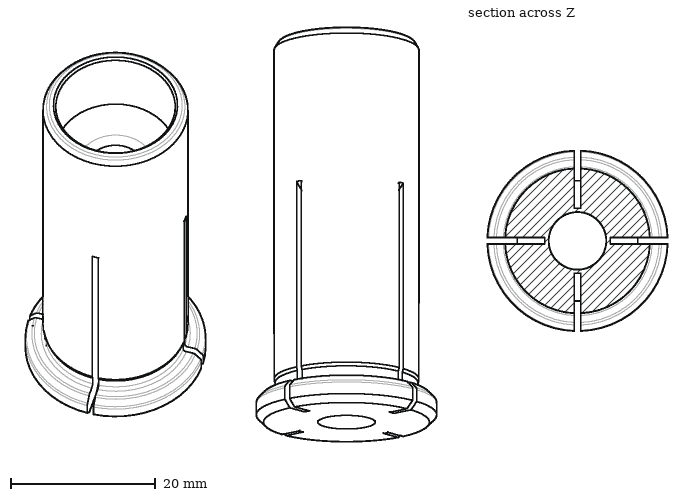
import cadquery as cq
import math

length = 54.0
tube_radius = 10.05
flange_radius = 25.0 / 2
flange_height = 3.95
flange_chamfer = 1.0
flange_edge_fillet = 0.5

groove_radius = 9.9
groove_end = 6.1
groove_runout = 0.5
groove_corner_fillet = 0.45

lead_height = 1.0
lead_width = lead_height * math.tan(math.radians(30))
lead_fillet = 0.45

socket_radius = 8.25
socket_depth = 9.95
socket_chamfer = 0.3
seat_radius = 5.25
bore_radius = 7.95 / 2
seat_slope = 45.0
throat_slope = 30.0

slot_count = 4
slot_width = 0.85
slot_top = 32.5
slot_roof_slope = 45.0
web_height = 3.3
web_slope = 37.0


def rise(run, slope):
    """Height gained over a radial run at a slope in degrees from horizontal."""
    return run * math.tan(math.radians(slope))


def fillet_rim(body, radius, height, fillet_radius):
    """Round the circular edge of the given radius and height."""
    tolerance = 0.005
    rims = [
        edge
        for edge in body.edges("%CIRCLE").vals()
        if abs(edge.radius() - radius) < tolerance and abs(edge.Center().z - height) < tolerance
    ]
    return body.newObject(rims).fillet(fillet_radius)


def make_body():
    profile = (
        cq.Workplane("XZ")
        .polyline([
            (0, 0),
            (flange_radius - flange_chamfer, 0),
            (flange_radius, flange_chamfer),
            (flange_radius, flange_height - flange_chamfer),
            (flange_radius - flange_chamfer, flange_height),
            (groove_radius, flange_height),
            (groove_radius, groove_end - groove_runout),
            (tube_radius, groove_end),
            (tube_radius, length - lead_height),
            (tube_radius - lead_width, length),
            (0, length),
        ])
        .close()
    )
    body = profile.revolve(360, (0, 0, 0), (0, 1, 0))

    chamfer_foot = flange_height - flange_chamfer
    body = fillet_rim(body, tube_radius - lead_width, length, lead_fillet)
    body = fillet_rim(body, groove_radius, flange_height, groove_corner_fillet)
    body = fillet_rim(body, flange_radius - flange_chamfer, flange_height, flange_edge_fillet)
    return fillet_rim(body, flange_radius, chamfer_foot, flange_edge_fillet)


def make_bore():
    socket_floor = length - socket_depth
    seat_bottom = socket_floor - rise(socket_radius - seat_radius, seat_slope)
    throat_bottom = seat_bottom - rise(seat_radius - bore_radius, throat_slope)
    return (
        cq.Workplane("XZ")
        .polyline([
            (0, 0),
            (bore_radius, 0),
            (bore_radius, throat_bottom),
            (seat_radius, seat_bottom),
            (socket_radius, socket_floor),
            (socket_radius, length - socket_chamfer),
            (socket_radius + socket_chamfer, length),
            (0, length),
        ])
        .close()
        .revolve(360, (0, 0, 0), (0, 1, 0))
    )


def make_slot():
    """One slot running outward from the bore along +X."""
    roof_at_bore = slot_top - rise(tube_radius - bore_radius, slot_roof_slope)
    roof_at_flange = slot_top + rise(flange_radius - tube_radius, slot_roof_slope)
    roof_at_axis = roof_at_bore - rise(bore_radius, slot_roof_slope)
    web_at_axis = web_height + rise(bore_radius, web_slope)
    web_at_flange = web_height - rise(flange_radius - bore_radius, web_slope)
    return (
        cq.Workplane("XZ")
        .polyline([
            (0, web_at_axis),
            (flange_radius, web_at_flange),
            (flange_radius, roof_at_flange),
            (0, roof_at_axis),
        ])
        .close()
        .extrude(slot_width / 2, both=True)
    )


result = make_body().cut(make_bore())
for index in range(slot_count):
    result = result.cut(make_slot().rotate((0, 0, 0), (0, 0, 1), index * 360 / slot_count))